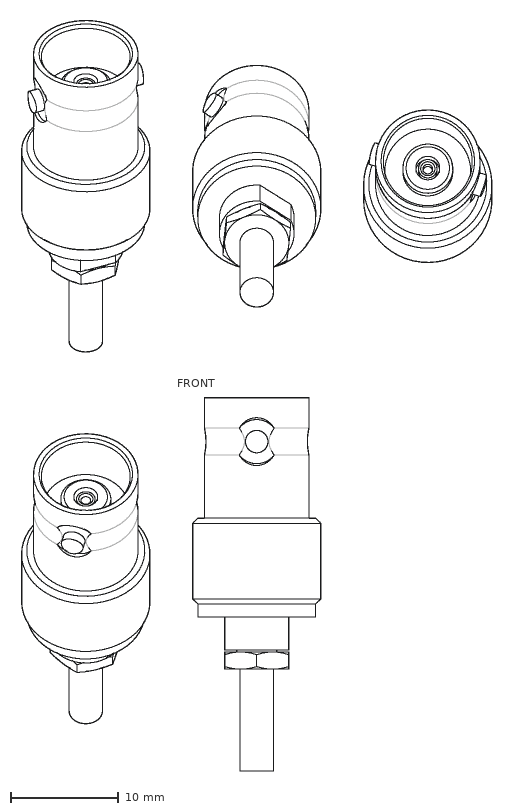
import cadquery as cq
import math


nut_bottom = 9.5
nut_top = 11.1
hub_bottom = 11.3
flange_bottom = 14.35
flange_top = 15.6
body_bottom_edge = 16.05
body_top_edge = 23.1
body_top = 23.6
pin_level = 30.75
height = 34.85

cable_radius = 1.57
neck_radius = 1.88
hub_radius = 3.5
flange_radius = 5.5
body_radius = 6.0
body_chamfer = body_top - body_top_edge
barrel_radius = 4.88

width_across_flats = 6.0
nut_corner_drop = 0.25

groove_half_height = 1.25
groove_radius = 4.75
spotface_rim_radius = 2.23
spotface_floor_radius = 2.05
spotface_offset = 4.6
pin_radius = 1.05
pin_reach = 5.5

mouth_radius = 4.35
mouth_depth = 0.35
bore_radius = 4.15
socket_floor = 29.9
floor_radius = 4.0

insulator_radius = 2.35
insulator_top = 31.5
insulator_chamfer = 0.3
insulator_hole_radius = 1.1
contact_radius = 0.87
contact_top = 31.2
contact_mouth_radius = 0.65
contact_hole_radius = 0.45


def cylinder(radius, bottom, top):
    return cq.Workplane("XY").workplane(offset=bottom).circle(radius).extrude(top - bottom)


def revolve_profile(points):
    """Turn a closed (radius, level) outline around the Z axis."""
    return cq.Workplane("XZ").polyline(points).close().revolve(360, (0, 0), (0, 1))


def make_shell():
    """Flange, body and barrel with the shallow round groove around the barrel."""
    groove_bottom = pin_level - groove_half_height
    groove_top = pin_level + groove_half_height
    profile = (
        cq.Workplane("XZ")
        .moveTo(0, flange_bottom)
        .lineTo(flange_radius, flange_bottom)
        .lineTo(flange_radius, flange_top)
        .lineTo(body_radius, body_bottom_edge)
        .lineTo(body_radius, body_top_edge)
        .lineTo(body_radius - body_chamfer, body_top)
        .lineTo(barrel_radius, body_top)
        .lineTo(barrel_radius, groove_bottom)
        .threePointArc((groove_radius, pin_level), (barrel_radius, groove_top))
        .lineTo(barrel_radius, height)
        .lineTo(0, height)
        .close()
    )
    return profile.revolve(360, (0, 0), (0, 1))


def make_spotface(side):
    """Flat-bottomed conical cutter for the pin seat on the -Y (-1) or +Y (+1) side."""
    depth = barrel_radius - spotface_offset
    plane = cq.Plane(origin=(0, side * spotface_offset, pin_level), xDir=(1, 0, 0), normal=(0, side, 0))
    return (
        cq.Workplane(plane)
        .circle(spotface_floor_radius)
        .workplane(offset=depth)
        .circle(spotface_rim_radius)
        .loft(ruled=True)
    )


def make_socket():
    return revolve_profile([
        (0, socket_floor),
        (floor_radius, socket_floor),
        (bore_radius, height - mouth_depth),
        (mouth_radius, height),
        (0, height),
    ])


def make_insulator():
    insulator = cylinder(insulator_radius, socket_floor, insulator_top)
    insulator = insulator.faces(">Z").chamfer(insulator_chamfer)
    return insulator.cut(cylinder(insulator_hole_radius, socket_floor, insulator_top))


def make_contact():
    """Tube with a countersunk mouth."""
    countersink_depth = contact_mouth_radius - contact_hole_radius
    return revolve_profile([
        (contact_hole_radius, socket_floor),
        (contact_radius, socket_floor),
        (contact_radius, contact_top),
        (contact_mouth_radius, contact_top),
        (contact_hole_radius, contact_top - countersink_depth),
    ])


def make_pin(side):
    """Pin on the -Y (-1) or +Y (+1) side; its end follows a cylinder around the axis."""
    root = (bore_radius + spotface_offset) / 2
    plane = cq.Plane(origin=(0, side * root, pin_level), xDir=(1, 0, 0), normal=(0, side, 0))
    rod = cq.Workplane(plane).circle(pin_radius).extrude(body_radius - root)
    return rod.intersect(cylinder(pin_reach, 0, height))


def make_hub():
    """Round hub with two flats facing -X and +X."""
    hub = cylinder(hub_radius, hub_bottom, flange_bottom)
    flats = cq.Workplane("XY").box(width_across_flats, 2 * hub_radius, 2 * height)
    return hub.intersect(flats)


def make_nut():
    """Hexagon nut with corners on the Y axis, turned off conically at both ends."""
    inner_radius = width_across_flats / 2
    corner_radius = inner_radius / math.cos(math.pi / 6)
    hexagon = (
        cq.Workplane("XY").workplane(offset=nut_bottom)
        .transformed(rotate=(0, 0, 90))
        .polygon(6, 2 * corner_radius)
        .extrude(nut_top - nut_bottom)
    )
    turned = revolve_profile([
        (0, nut_bottom),
        (inner_radius, nut_bottom),
        (corner_radius, nut_bottom + nut_corner_drop),
        (corner_radius, nut_top - nut_corner_drop),
        (inner_radius, nut_top),
        (0, nut_top),
    ])
    return hexagon.intersect(turned)


shell = make_shell().cut(make_socket())
for side in (-1, 1):
    shell = shell.cut(make_spotface(side))
    shell = shell.union(make_pin(side))

result = (
    shell
    .union(make_insulator())
    .union(make_contact())
    .union(make_hub())
    .union(cylinder(neck_radius, nut_top, hub_bottom))
    .union(make_nut())
    .union(cylinder(cable_radius, 0, nut_bottom))
)